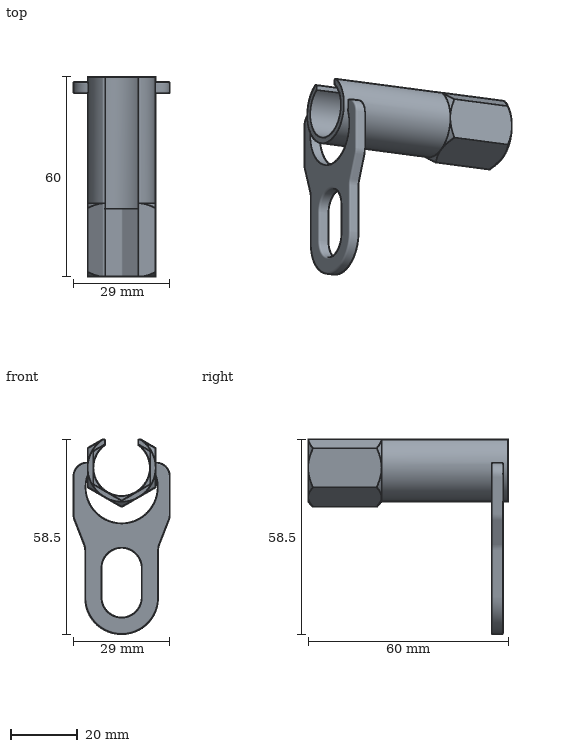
import cadquery as cq
import math

length = 60.0
tube_radius = 10.2
bore_radius = 8.45
opening_half_width = 4.9
lip_round = 0.55
front_y = -length / 2
back_y = length / 2

hex_length = 22.0
hex_flat_radius = 10.2
chamfer_length = 1.45
socket_flat_radius = 8.6
socket_depth = 20.4
socket_corner_round = 0.6
corner_factor = 2 / math.sqrt(3)
hex_corner_radius = hex_flat_radius * corner_factor

plate_thickness = 3.5
plate_back_y = back_y - 1.5
plate_top = 1.55
plate_bottom = -50.0
shoulder_half_width = 29.0 / 2
shoulder_bottom = -14.9
shank_half_width = 11.0
shank_top = -23.9
plate_corner_round = 4.2
bend_round = 4.2
plate_edge_round = 0.55
shank_end_center = plate_bottom + shank_half_width

notch_radius = 10.8
notch_center = -5.9
hanger_slot_radius = 6.0
hanger_slot_length = 20.9
hanger_slot_center = -34.5


def section(y):
    """XZ sketch plane at the given Y; extruding runs toward -Y."""
    return cq.Workplane("XZ", origin=(0, y, 0))


def hexagon(y, flat_radius, depth):
    """Hexagonal bar with corners pointing up and down."""
    corner_diameter = 2 * flat_radius * corner_factor
    return section(y).transformed(rotate=(0, 0, 90)).polygon(6, corner_diameter).extrude(depth)


def open_top(body):
    """Cut the lengthwise opening and round the outer edges of its lips."""
    opening = cq.Workplane("XY").box(
        2 * opening_half_width, 2 * length, 2 * length, centered=(True, True, False)
    )
    opened = body.cut(opening)
    lip_height = math.sqrt(bore_radius**2 - opening_half_width**2)
    outer_lips = cq.selectors.BoxSelector(
        (-opening_half_width - lip_round / 2, -length, lip_height + lip_round),
        (opening_half_width + lip_round / 2, length, hex_corner_radius),
    )
    return opened.edges("|Y").edges(outer_lips).fillet(lip_round)


def make_tube():
    tube = section(back_y).circle(tube_radius).circle(bore_radius).extrude(length)
    return open_top(tube)


def make_head():
    hex_back_y = front_y + hex_length
    head = hexagon(hex_back_y, hex_flat_radius, hex_length)
    head = head.cut(section(hex_back_y).circle(bore_radius).extrude(hex_length))
    head = open_top(head)
    envelope = (
        section(hex_back_y)
        .circle(hex_corner_radius)
        .extrude(hex_length)
        .faces("<Y or >Y")
        .chamfer(chamfer_length, hex_corner_radius - tube_radius)
    )
    return head.intersect(envelope)


def make_socket():
    socket = hexagon(front_y + socket_depth, socket_flat_radius, socket_depth)
    return socket.edges("|Y").fillet(socket_corner_round)


def make_plate():
    outline = (
        section(plate_back_y)
        .moveTo(-shoulder_half_width, plate_top)
        .lineTo(shoulder_half_width, plate_top)
        .lineTo(shoulder_half_width, shoulder_bottom)
        .lineTo(shank_half_width, shank_top)
        .lineTo(shank_half_width, shank_end_center)
        .threePointArc((0, plate_bottom), (-shank_half_width, shank_end_center))
        .lineTo(-shank_half_width, shank_top)
        .lineTo(-shoulder_half_width, shoulder_bottom)
        .close()
    )
    plate = outline.extrude(plate_thickness)
    plate = plate.edges("|Y").edges(">Z").fillet(plate_corner_round)
    bends = cq.selectors.BoxSelector(
        (-length, -length, shank_top - bend_round), (length, length, shoulder_bottom + bend_round)
    )
    plate = plate.edges("|Y").edges(bends).fillet(bend_round)
    plate = plate.faces("<Y").edges().fillet(plate_edge_round)

    hanger_slot = (
        section(plate_back_y)
        .center(0, hanger_slot_center)
        .slot2D(hanger_slot_length, 2 * hanger_slot_radius, 90)
    )
    plate = plate.cut(hanger_slot.extrude(plate_thickness))
    plate = plate.faces(">Y").edges().fillet(plate_edge_round)

    notch = section(plate_back_y).center(0, notch_center).circle(notch_radius)
    tube_seat = section(plate_back_y).circle((tube_radius + bore_radius) / 2)
    for cutout in (notch, tube_seat):
        plate = plate.cut(cutout.extrude(plate_thickness))
    return plate


result = make_tube().union(make_head()).cut(make_socket()).union(make_plate())